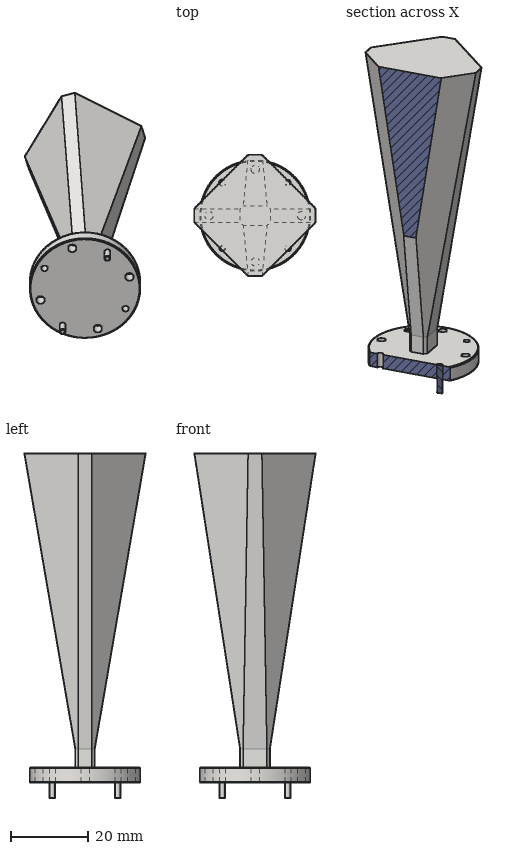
import cadquery as cq
import math

total_height = 89.1
pin_projection = 4.0
flange_thickness = 4.0
tube_height = 4.8
flange_top = pin_projection + flange_thickness
horn_base = flange_top + tube_height

flange_diameter = 28.6
flange_chamfer = 0.3
hole_circle_radius = 11.95
bolt_hole_diameter = 2.1
dowel_hole_diameter = 1.6

pin_diameter = 1.5
pin_chamfer = 0.2

tube_x = 7.75
tube_y = 5.1
tube_corner_cut = 0.8
mouth_width = 31.4
mouth_flat = 3.6
mouth_corner_cut = (mouth_width - mouth_flat) / 2

pin_angles = (45, 225)
dowel_hole_angles = (135, 315)
bolt_hole_angles = (0, 90, 180, 270)


def on_hole_circle(angles):
    """Points on the shared hole circle at the given angles in degrees."""
    return [
        (
            hole_circle_radius * math.cos(math.radians(angle)),
            hole_circle_radius * math.sin(math.radians(angle)),
        )
        for angle in angles
    ]


def cut_corner_outline(width, depth, cut):
    """Corner points of a centred rectangle with its four corners cut at 45 degrees."""
    x = width / 2
    y = depth / 2
    return [
        (x, y - cut),
        (x - cut, y),
        (cut - x, y),
        (-x, y - cut),
        (-x, cut - y),
        (cut - x, -y),
        (x - cut, -y),
        (x, cut - y),
    ]


def make_flange():
    """Round flange with bolt holes, free dowel holes and the holes that seat the pins."""
    flange = (
        cq.Workplane("XY", origin=(0, 0, pin_projection))
        .circle(flange_diameter / 2)
        .extrude(flange_thickness)
        .faces("<Z or >Z")
        .chamfer(flange_chamfer)
    )
    hole_groups = (
        (bolt_hole_angles, bolt_hole_diameter),
        (dowel_hole_angles, dowel_hole_diameter),
        (pin_angles, pin_diameter),
    )
    for angles, diameter in hole_groups:
        holes = (
            cq.Workplane("XY", origin=(0, 0, pin_projection))
            .pushPoints(on_hole_circle(angles))
            .circle(diameter / 2)
            .extrude(flange_thickness)
        )
        flange = flange.cut(holes)
    return flange


def make_tube():
    """Straight feed tube standing on the flange."""
    return (
        cq.Workplane("XY", origin=(0, 0, flange_top))
        .polyline(cut_corner_outline(tube_x, tube_y, tube_corner_cut))
        .close()
        .extrude(tube_height)
    )


def make_flare():
    """Horn that widens with flat sides from the tube outline to the square mouth."""
    return (
        cq.Workplane("XY", origin=(0, 0, horn_base))
        .polyline(cut_corner_outline(tube_x, tube_y, tube_corner_cut))
        .close()
        .workplane(offset=total_height - horn_base)
        .polyline(cut_corner_outline(mouth_width, mouth_width, mouth_corner_cut))
        .close()
        .loft(ruled=True)
    )


def make_pin(x, y):
    """Dowel pin, flush with the flange top and chamfered at both ends."""
    return (
        cq.Workplane("XY", origin=(x, y, 0))
        .circle(pin_diameter / 2)
        .extrude(flange_top)
        .faces("<Z or >Z")
        .chamfer(pin_chamfer)
    )


horn = make_flange().union(make_tube()).union(make_flare())

pins = []
for pin_x, pin_y in on_hole_circle(pin_angles):
    pins.append(make_pin(pin_x, pin_y).val())

result = cq.Compound.makeCompound([horn.val(), *pins])